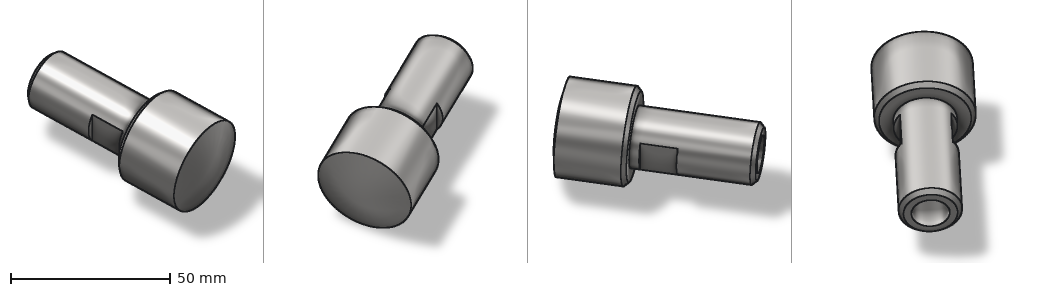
import cadquery as cq
import math

total_length = 65.0
head_diameter = 32.0
shank_diameter = 20.0
shank_length = 40.1
edge_chamfer = 1.5
dome_height = 2.0

flat_start = 24.95
flat_length = 11.95
across_flats = 16.0

bore_diameter = 12.0
bore_depth = 25.0
drill_diameter = 10.2
drill_depth = 30.0
drill_point_angle = 118.0


def turned_body():
    """Shank and domed head, revolved about the X axis."""
    shank_radius = shank_diameter / 2
    head_radius = head_diameter / 2
    dome_start = total_length - dome_height
    dome_radius = (head_radius**2 + dome_height**2) / (2 * dome_height)
    mid_height = head_radius / 2
    mid_x = total_length - dome_radius + math.sqrt(dome_radius**2 - mid_height**2)
    return (
        cq.Workplane("XY")
        .lineTo(0, shank_radius - edge_chamfer)
        .lineTo(edge_chamfer, shank_radius)
        .lineTo(shank_length, shank_radius)
        .lineTo(shank_length, head_radius - edge_chamfer)
        .lineTo(shank_length + edge_chamfer, head_radius)
        .lineTo(dome_start, head_radius)
        .threePointArc((mid_x, mid_height), (total_length, 0))
        .close()
        .revolve(360, (0, 0, 0), (1, 0, 0))
    )


def stepped_bore():
    """Cutter for the wide bore, the narrower drilled hole and its cone."""
    bore_radius = bore_diameter / 2
    drill_radius = drill_diameter / 2
    point_length = drill_radius / math.tan(math.radians(drill_point_angle / 2))
    return (
        cq.Workplane("XY")
        .lineTo(0, bore_radius)
        .lineTo(bore_depth, bore_radius)
        .lineTo(bore_depth, drill_radius)
        .lineTo(drill_depth, drill_radius)
        .lineTo(drill_depth + point_length, 0)
        .close()
        .revolve(360, (0, 0, 0), (1, 0, 0))
    )


def wrench_flat(side):
    """Cutter for the flat facing +Y (side = 1) or -Y (side = -1)."""
    cut_depth = shank_diameter / 2
    return cq.Workplane("XY").box(flat_length, cut_depth, shank_diameter).translate(
        (flat_start + flat_length / 2, side * (across_flats + cut_depth) / 2, 0)
    )


result = turned_body().cut(stepped_bore())
for side in (-1, 1):
    result = result.cut(wrench_flat(side))